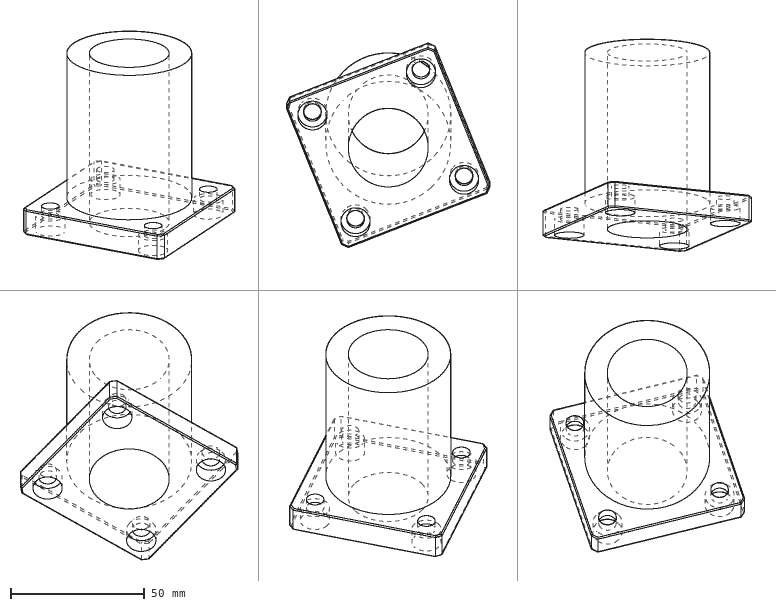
import math

import cadquery as cq

flange_side = 60.0
flange_thickness = 10.0
corner_chamfer = 2.0
edge_chamfer = 0.5

total_height = 68.0
sleeve_diameter = 47.0
bore_diameter = 30.0

hole_circle_diameter = 62.0
hole_spacing = hole_circle_diameter / math.sqrt(2)
hole_diameter = 6.6
counterbore_diameter = 11.0
counterbore_depth = 6.1


def make_flange():
    """Square plate with cut corners and chamfered top and bottom rims."""
    plate = cq.Workplane("XY").rect(flange_side, flange_side).extrude(flange_thickness)
    plate = plate.edges("|Z").chamfer(corner_chamfer)
    return plate.faces("<Z or >Z").chamfer(edge_chamfer)


def make_sleeve():
    """Solid cylinder running the full height of the part."""
    return cq.Workplane("XY").circle(sleeve_diameter / 2).extrude(total_height)


def make_bore():
    """Central through bore."""
    return cq.Workplane("XY").circle(bore_diameter / 2).extrude(total_height)


def make_corner_cylinders(diameter, height):
    """Four upright cylinders at the mounting hole positions, from the underside up."""
    return (
        cq.Workplane("XY")
        .rect(hole_spacing, hole_spacing, forConstruction=True)
        .vertices()
        .circle(diameter / 2)
        .extrude(height)
    )


def make_mounting_holes():
    """Four through holes, each with a counterbore in the underside."""
    holes = make_corner_cylinders(hole_diameter, flange_thickness)
    counterbores = make_corner_cylinders(counterbore_diameter, counterbore_depth)
    return holes.union(counterbores)


result = make_flange().union(make_sleeve()).cut(make_bore()).cut(make_mounting_holes())